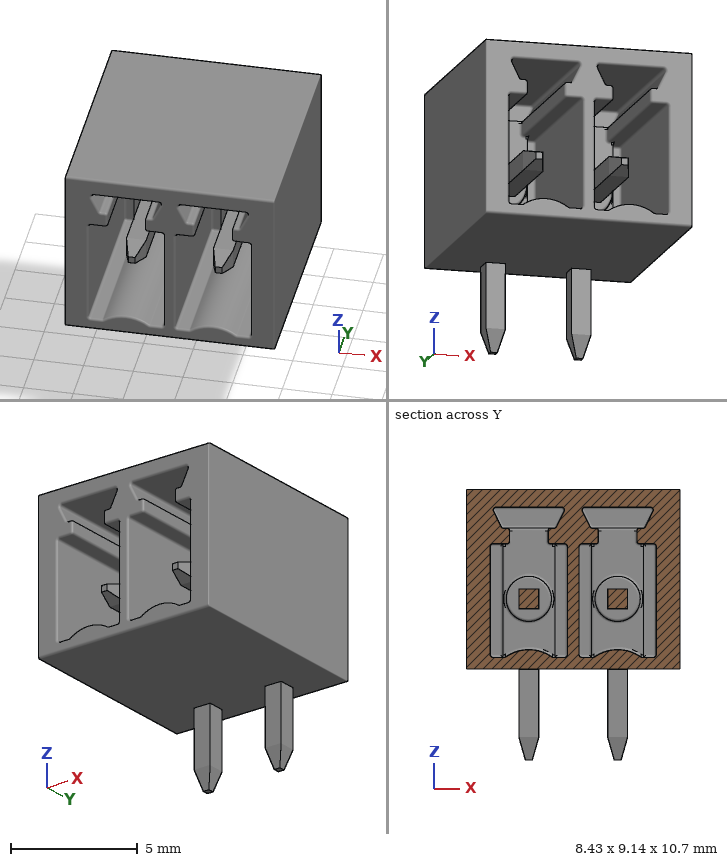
import cadquery as cq
import math

BODY_W = 8.43
BODY_D = 9.14
BODY_H = 7.1
OVERALL_H = 10.67
LONG_EDGE_R = 0.11
SIDE_EDGE_R = 0.04

PITCH = 3.5
POLE_XS = (-PITCH / 2, PITCH / 2)

SOCKET_HALF_W = 1.52
SOCKET_FLOOR_Z = 0.47
SOCKET_TOP_Z = BODY_H - 2.16
NECK_HALF_W = 0.76
KEY_BOTTOM_Z = BODY_H - 1.54
KEY_TOP_Z = BODY_H - 0.71
KEY_BOTTOM_HALF_W = 1.06
KEY_TOP_HALF_W = 1.46
HUMP_HALF_W = 0.94
HUMP_H = 0.31
SOCKET_DEPTH = 7.04
EDGE_R = 0.1
CORNER_R = 0.11

PAD_HALF_W = 1.02
PAD_H = 0.64
BOSS_D = 1.78
BOSS_H = 0.32

PIN_W = 0.79
PIN_TIP_W = 0.28
PIN_TAPER = 0.9
PIN_Z = 2.77
PIN_TIP_Y = 1.07
TAIL_Y = BODY_D - 1.27
TAIL_LENGTH = OVERALL_H - BODY_H

PAD_Y = SOCKET_DEPTH - PAD_H
RIM_MARGIN = 0.21


def make_housing():
    """Plain block with softly rounded edges."""
    block = cq.Workplane("XY").box(BODY_W, BODY_D, BODY_H, centered=(True, False, False))
    return block.edges("|X").fillet(LONG_EDGE_R).faces("<X or >X").edges().fillet(SIDE_EDGE_R)


def make_socket_prism(depth):
    """Keyed socket outline with rounded corners, run straight back from the front face."""
    outline = (
        cq.Workplane("XZ")
        .moveTo(-SOCKET_HALF_W, SOCKET_FLOOR_Z)
        .lineTo(-HUMP_HALF_W, SOCKET_FLOOR_Z)
        .threePointArc((0, SOCKET_FLOOR_Z + HUMP_H), (HUMP_HALF_W, SOCKET_FLOOR_Z))
        .lineTo(SOCKET_HALF_W, SOCKET_FLOOR_Z)
        .lineTo(SOCKET_HALF_W, SOCKET_TOP_Z)
        .lineTo(NECK_HALF_W, SOCKET_TOP_Z)
        .lineTo(NECK_HALF_W, KEY_BOTTOM_Z)
        .lineTo(KEY_BOTTOM_HALF_W, KEY_BOTTOM_Z)
        .lineTo(KEY_TOP_HALF_W, KEY_TOP_Z)
        .lineTo(-KEY_TOP_HALF_W, KEY_TOP_Z)
        .lineTo(-KEY_BOTTOM_HALF_W, KEY_BOTTOM_Z)
        .lineTo(-NECK_HALF_W, KEY_BOTTOM_Z)
        .lineTo(-NECK_HALF_W, SOCKET_TOP_Z)
        .lineTo(-SOCKET_HALF_W, SOCKET_TOP_Z)
        .close()
    )
    return outline.extrude(-depth).edges("|Y").fillet(CORNER_R)


def round_blind_end(solid):
    """Round the edges of the deepest face."""
    return solid.faces(">Y").edges().fillet(EDGE_R)


def make_pad():
    """Raised pad behind the contact pin, with its free front edges rounded."""
    pad = cq.Workplane("XY", origin=(0, PAD_Y, 0)).box(
        2 * PAD_HALF_W, PAD_H, KEY_BOTTOM_Z, centered=(True, False, False)
    )
    return pad.faces("<Y").edges("|Z or >Z").fillet(EDGE_R)


def make_socket():
    """Solid that fills one socket and leaves its pad standing, with a fillet around the pad foot."""
    return round_blind_end(make_socket_prism(SOCKET_DEPTH).cut(make_pad()))


def make_pad_cove():
    """Concave fillet where the front of the pad meets the socket walls."""
    prism = make_socket_prism(PAD_Y)
    pad_span = cq.Workplane("XY").box(
        2 * PAD_HALF_W, PAD_Y, KEY_BOTTOM_Z - CORNER_R, centered=(True, False, False)
    )
    return prism.cut(round_blind_end(prism)).intersect(pad_span)


def make_boss():
    """Round boss on the pad: rounded front edge and a flared foot, turned about the pin axis."""
    radius = BOSS_D / 2
    arc_inset = EDGE_R * (1 - math.sqrt(0.5))
    profile = (
        cq.Workplane("XY")
        .moveTo(0, PAD_Y + PAD_H)
        .lineTo(radius + EDGE_R, PAD_Y + PAD_H)
        .lineTo(radius + EDGE_R, PAD_Y)
        .threePointArc((radius + arc_inset, PAD_Y - arc_inset), (radius, PAD_Y - EDGE_R))
        .lineTo(radius, PAD_Y - BOSS_H + EDGE_R)
        .threePointArc((radius - arc_inset, PAD_Y - BOSS_H + arc_inset), (radius - EDGE_R, PAD_Y - BOSS_H))
        .lineTo(0, PAD_Y - BOSS_H)
        .close()
    )
    return profile.revolve(360, (0, 0, 0), (0, 1, 0)).translate((0, 0, PIN_Z))


def make_tapered_bar(length):
    """Square bar along +Z whose top end narrows to a blunt tip."""
    shank = length - PIN_TAPER
    bar = cq.Workplane("XY").rect(PIN_W, PIN_W).extrude(shank)
    tip = (
        cq.Workplane("XY", origin=(0, 0, shank))
        .rect(PIN_W, PIN_W)
        .workplane(offset=PIN_TAPER)
        .rect(PIN_TIP_W, PIN_TIP_W)
        .loft(ruled=True)
    )
    return bar.union(tip)


def make_pin():
    """Right-angled pin: contact towards the front, solder tail downwards."""
    contact = make_tapered_bar(TAIL_Y - PIN_TIP_Y).rotate((0, 0, 0), (1, 0, 0), 90)
    tail = make_tapered_bar(PIN_Z + TAIL_LENGTH).rotate((0, 0, 0), (1, 0, 0), 180)
    return contact.union(tail).translate((0, TAIL_Y, PIN_Z))


housing = make_housing()
socket = make_socket()
for x in POLE_XS:
    housing = housing.cut(socket.translate((x, 0, 0)))

rims = cq.selectors.BoxSelector(
    (-BODY_W / 2 + RIM_MARGIN, -RIM_MARGIN, RIM_MARGIN),
    (BODY_W / 2 - RIM_MARGIN, RIM_MARGIN, BODY_H - RIM_MARGIN),
)
result = housing.faces("<Y").edges(rims).fillet(EDGE_R)

insert = make_pad_cove().union(make_boss()).union(make_pin())
for x in POLE_XS:
    result = result.union(insert.translate((x, 0, 0)))